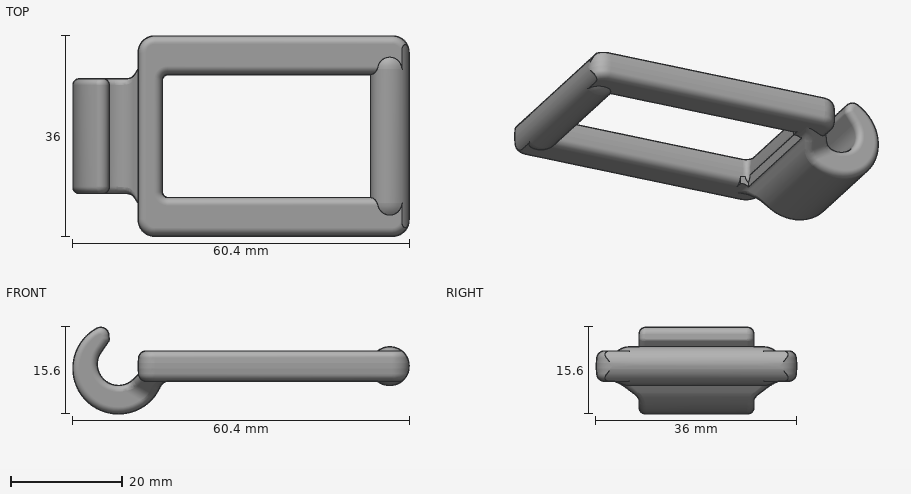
import cadquery as cq
import math


overall_length = 60.38
overall_width = 36.0
bar_radius = 3.5
right_end_x = bar_radius
left_end_x = right_end_x - overall_length

frame_thickness = 5.5
frame_left_x = -45.17
rail_width = 7.0
left_rail_width = 4.4
outer_corner_radius = 3.0
window_corner_radius = 1.0
land_height = 1.0
draft_angle = 5.0
frame_edge_radius = 1.4

frame_length = right_end_x - frame_left_x
frame_center_x = (right_end_x + frame_left_x) / 2
window_left_x = frame_left_x + left_rail_width
opening_length = frame_length
opening_center_x = window_left_x + opening_length / 2
window_width = overall_width - 2 * rail_width
half_thickness = frame_thickness / 2
draft_height = half_thickness - land_height / 2

bar_end_y = 12.0

hook_width = 20.65
hook_bottom_z = -8.6
hook_outer_radius = 8.2
hook_inner_radius = 3.78
hook_center_x = left_end_x + hook_outer_radius
hook_outer_center_z = hook_bottom_z + hook_outer_radius
hook_inner_center_z = 0.34
hook_rim_radius = 1.2

outer_tip_angle = 118.5
inner_tip_angle = 145.0
inner_neck_angle = -45.0
outer_neck_angle = -24.0

tip_shoulder = (-50.4, 5.70)
tip_straight = 2.6
tip_nose_radius = 0.6

neck_slope = inner_neck_angle + 90
neck_root_x = frame_left_x + 1.2
neck_blend_end_x = -39.2
neck_blend_bulge = 0.3
flare_slope = 59.0
flare_start = -3.5
flare_radius = 2.5
flank_angle = 50.0
flare_height = 4.8


def on_circle(center_z, radius, angle):
    """Point in XZ on a hook circle."""
    turn = math.radians(angle)
    return (hook_center_x + radius * math.cos(turn), center_z + radius * math.sin(turn))


def outer_point(angle):
    return on_circle(hook_outer_center_z, hook_outer_radius, angle)


def inner_point(angle):
    return on_circle(hook_inner_center_z, hook_inner_radius, angle)


def drafted_slab(length, width, corner_radius, center_x, taper):
    """Rounded rectangle: straight land at mid-height, tapered above and below."""
    def outline(z):
        sketch = cq.Sketch().rect(length, width).vertices().fillet(corner_radius)
        return cq.Workplane("XY", origin=(center_x, 0, z)).placeSketch(sketch)

    land = outline(-land_height / 2).extrude(land_height)
    upper = outline(land_height / 2).extrude(draft_height, taper=taper)
    return land.union(upper).union(upper.mirror("XY"))


def make_rails():
    """Three drafted rails, open at the right end."""
    body = drafted_slab(frame_length, overall_width, outer_corner_radius, frame_center_x, draft_angle)
    opening = drafted_slab(opening_length, window_width, window_corner_radius, opening_center_x, -draft_angle)
    return body.cut(opening).faces("|Z").edges().fillet(frame_edge_radius)


def make_end_bar():
    """Round bar with ball ends sunk into the rails."""
    bar_tip_y = bar_end_y + bar_radius
    ball_offset = bar_radius * math.sqrt(0.5)
    return (
        cq.Workplane("XY")
        .moveTo(0, -bar_tip_y)
        .threePointArc((ball_offset, -bar_end_y - ball_offset), (bar_radius, -bar_end_y))
        .lineTo(bar_radius, bar_end_y)
        .threePointArc((ball_offset, bar_end_y + ball_offset), (0, bar_tip_y))
        .close()
        .revolve(360, (0, 0, 0), (0, 1, 0))
    )


def make_frame():
    """Rails closed by the end bar, with the rail ends trimmed round to match the bar."""
    flat_side = cq.Workplane("XY").box(frame_length, 2 * overall_width, overall_width)
    flat_side = flat_side.translate((-frame_length / 2, 0, 0))
    round_side = cq.Workplane("XZ").circle(bar_radius).extrude(overall_width, both=True)
    return make_rails().union(make_end_bar()).intersect(flat_side.union(round_side))


def side_profile():
    """Hook and neck in the XZ plane, the neck running on into the left rail."""
    tip_x, tip_z = inner_point(inner_tip_angle)
    tip_slope = math.radians(inner_tip_angle - 90)
    tip_nose = (tip_x + tip_straight * math.cos(tip_slope), tip_z + tip_straight * math.sin(tip_slope))
    inner_neck_x, inner_neck_z = inner_point(inner_neck_angle)
    root_z = inner_neck_z + (neck_root_x - inner_neck_x) * math.tan(math.radians(neck_slope))
    outer_neck_x, outer_neck_z = outer_point(outer_neck_angle)
    blend_middle = ((outer_neck_x + neck_blend_end_x) / 2 - neck_blend_bulge,
                    (outer_neck_z - half_thickness) / 2 + neck_blend_bulge)
    outline = (
        cq.Workplane("XZ")
        .moveTo(outer_neck_x, outer_neck_z)
        .threePointArc(outer_point(180), outer_point(outer_tip_angle))
        .tangentArcPoint(tip_shoulder, relative=False)
        .lineTo(*tip_nose)
        .lineTo(tip_x, tip_z)
        .threePointArc(inner_point(-135), (inner_neck_x, inner_neck_z))
        .lineTo(neck_root_x, root_z)
        .lineTo(neck_blend_end_x, -half_thickness + frame_edge_radius)
        .lineTo(neck_blend_end_x, -half_thickness)
        .threePointArc(blend_middle, (outer_neck_x, outer_neck_z))
        .close()
    )
    strip = outline.extrude(overall_width / 2, both=True)
    nose_edge = cq.selectors.NearestToPointSelector((tip_nose[0], 0, tip_nose[1]))
    return strip.edges("|Y").edges(nose_edge).fillet(tip_nose_radius)


def width_limits():
    """Body that holds the hook to its width and lets the neck flare out with slanted sides."""
    reach = overall_length
    straight = cq.Workplane("XY").box(2 * reach, hook_width, 2 * reach)
    slope = math.radians(flare_slope)
    flare_plane = cq.Plane(
        origin=(hook_center_x, 0, hook_inner_center_z),
        xDir=(math.cos(slope), 0, math.sin(slope)),
        normal=(-math.sin(slope), 0, math.cos(slope)),
    )
    half_hook = hook_width / 2
    half_flare = half_hook + flare_height

    def arc_point(angle):
        turn = math.radians(angle)
        return (flare_start + flare_radius * math.sin(turn), half_hook + flare_radius * (1 - math.cos(turn)))

    flank_start, flank_base = arc_point(flank_angle)
    flank_end = flank_start + (half_flare - flank_base) / math.tan(math.radians(flank_angle))
    flare = (
        cq.Workplane(flare_plane)
        .moveTo(flare_start, 0)
        .lineTo(flare_start, half_hook)
        .threePointArc(arc_point(flank_angle / 2), (flank_start, flank_base))
        .lineTo(flank_end, half_flare)
        .lineTo(reach, half_flare)
        .lineTo(reach, 0)
        .close()
        .extrude(-reach)
    )
    return straight.union(flare).union(flare.mirror("XZ"))


def make_hook():
    """Curled strip with rounded rims that widens into the neck."""
    hook = side_profile().intersect(width_limits())
    for side in (-1, 1):
        rim_x, rim_z = outer_point(180)
        rim = cq.selectors.NearestToPointSelector((rim_x, side * hook_width / 2, rim_z))
        hook = hook.edges("%CIRCLE").edges(rim).fillet(hook_rim_radius)
    window_clearance = cq.Workplane("XY").box(frame_length, window_width, overall_length)
    return hook.cut(window_clearance.translate((opening_center_x, 0, 0)))


result = make_frame().union(make_hook())